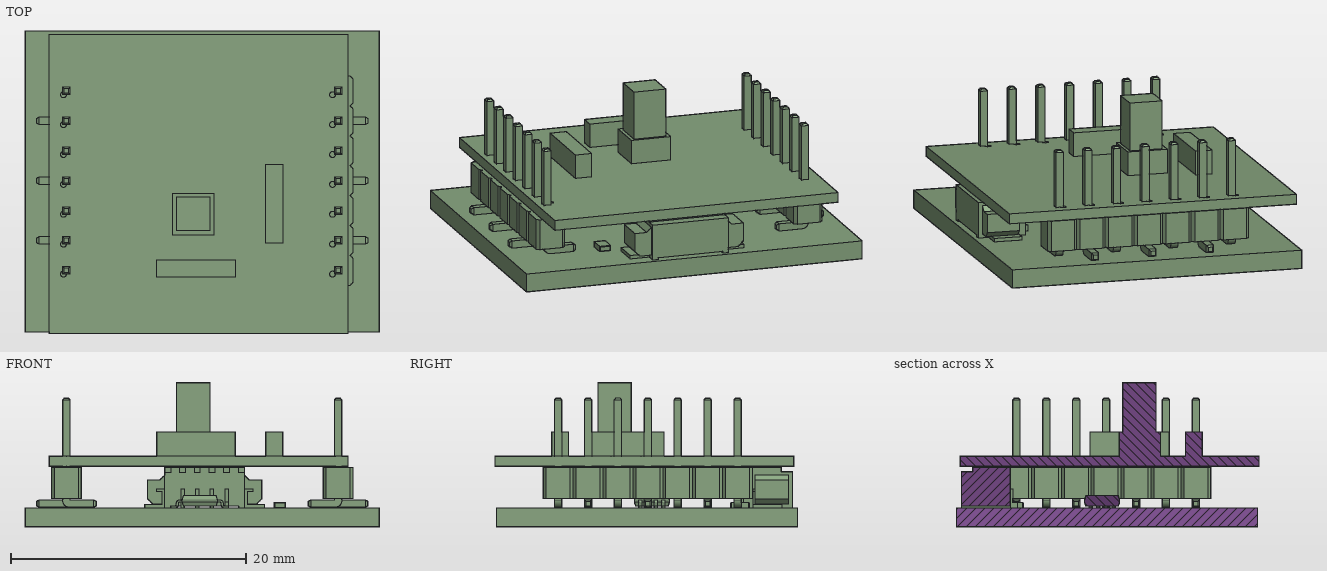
import cadquery as cq

base_x = 30.1
base_y = 25.6
base_z = 1.6

upper_size = 25.4
upper_thickness = 0.87
upper_center_x = -0.3
upper_center_y = -0.23
upper_bottom = base_z + 3.53
upper_top = upper_bottom + upper_thickness
total_height = 12.25

bar_length = 6.7
bar_width = 1.45
block_height = 2.07
front_bar_center = (-0.53, -7.38)
side_bar_center = (6.12, -1.9)
button_base_size = 3.52
button_base_center = (-0.78, -2.8)
button_size = 2.86
button_center = (-0.77, -2.75)

pitch = 2.54
pin_count = 7
header_x = 11.54
header_y = 0.07
pin_width = 0.64
pin_tip_inset = 0.13
pin_tip_length = 0.15
leg_tip_length = 0.22
pin_top = base_z + 9.33
leg_reach = 2.54
leg_bottom = base_z + 0.05
leg_bend_radius = 0.58
housing_chamfer = 0.25
board_clearance = 0.08
housing_top = upper_bottom - board_clearance
housing_bottom = base_z + 0.8
row_offsets = [(i - (pin_count - 1) / 2) * pitch for i in range(pin_count)]

hole_diameter = 0.5
hole_row_spacing = 22.86
hole_rows_x = -0.36
hole_rows_y = -0.25

connector_x = 0.2
connector_width = 6.78
connector_back = 12.37
connector_front = 8.2
connector_top = upper_bottom - board_clearance
connector_gap = 0.15
connector_foot_width = 0.5
back_step_depth = 0.95
back_step_height = 0.36
wing_span = 9.72
wing_back = 12.0
wing_front = 9.16
wing_bottom = base_z + 0.33
wing_top = base_z + 2.38
wing_slope = 0.42
wing_bottom_chamfer = 0.45
notch_width = 0.5
notch_height = 0.44
notch_depth = 0.4
notch_count = 6
contact_count = 4
contact_pitch = 1.25
contact_width = 0.3
contact_top = base_z + 1.63
contact_foot_height = 0.5
contact_drop = 0.2
contact_foot_reach = 0.6
tab_thickness = 0.24
tab_foot_thickness = 0.3
tab_arm = 0.95
tab_top = base_z + 1.63
tab_foot_span = 10.2
tab_back = 11.46
tab_front = 9.0

chip_x = -0.21
chip_y = 0.42
chip_size = 3.0
chip_draft = 0.12
chip_standoff = 0.15
chip_top = 1.07
lead_pitch = 0.65
leads_per_side = 4
lead_width = 0.3
lead_thickness = 0.18
lead_span = 4.9
lead_shoulder = 2.0
lead_top = 0.67
lead_bend_radius = 0.08

resistor_x = 6.6
resistor_width = 0.97
resistor_length = 1.6
resistor_height = 0.47
resistor_front = 7.1
resistor_edge = 0.06


def block(x_range, y_range, z_range):
    """Box given by its limits along each axis."""
    (x0, x1), (y0, y1), (z0, z1) = x_range, y_range, z_range
    return cq.Workplane("XY").box(x1 - x0, y1 - y0, z1 - z0, centered=False).translate((x0, y0, z0))


def standing_block(center, size_x, size_y, z_range):
    """Box given by its plan centre, plan size and height limits."""
    x, y = center
    return block((x - size_x / 2, x + size_x / 2), (y - size_y / 2, y + size_y / 2), z_range)


def extrude_along_y(points, y_range):
    """Prism with an X-Z outline, between two Y limits."""
    y0, y1 = y_range
    return cq.Workplane("XZ", origin=(0, y1, 0)).polyline(points).close().extrude(y1 - y0)


def make_base_board():
    return standing_block((0, 0), base_x, base_y, (0, base_z))


def make_upper_board():
    block_top = upper_top + block_height
    center = (upper_center_x, upper_center_y)
    board = standing_block(center, upper_size, upper_size, (upper_bottom, upper_top))

    holes = [
        (hole_rows_x + side * hole_row_spacing / 2, hole_rows_y + offset)
        for side in (-1, 1)
        for offset in row_offsets
    ]
    pins = [(side * header_x, header_y + offset) for side in (-1, 1) for offset in row_offsets]
    plane = cq.Workplane("XY").workplane(offset=upper_bottom)
    board = board.cut(plane.pushPoints(holes).circle(hole_diameter / 2).extrude(upper_thickness))
    board = board.cut(plane.pushPoints(pins).rect(pin_width, pin_width).extrude(upper_thickness))

    for bar_center, size_x, size_y in (
        (front_bar_center, bar_length, bar_width),
        (side_bar_center, bar_width, bar_length),
        (button_base_center, button_base_size, button_base_size),
    ):
        board = board.union(standing_block(bar_center, size_x, size_y, (upper_top, block_top)))
    button = standing_block(button_center, button_size, button_size, (block_top, total_height))
    return board.union(button)


def make_tapered_bar(length, tip_length):
    """Square bar along +Z from the origin, ending in a short tapered tip."""
    tip_width = pin_width - 2 * pin_tip_inset
    bar = cq.Workplane("XY").rect(pin_width, pin_width).extrude(length - tip_length)
    tip = cq.Workplane("XY").workplane(offset=length - tip_length).rect(pin_width, pin_width)
    return bar.union(tip.workplane(offset=tip_length).rect(tip_width, tip_width).loft())


def make_pin(direction):
    """Upright pin bent into a flat leg that points along +X or -X."""
    half = pin_width / 2
    upright = make_tapered_bar(pin_top - leg_bottom, pin_tip_length)
    leg = make_tapered_bar(leg_reach + half, leg_tip_length)
    leg = leg.rotate((0, 0, 0), (0, 1, 0), 90).translate((-half, 0, half))
    pin = upright.union(leg).clean()
    pin = pin.faces("<X").edges("<Z").fillet(leg_bend_radius)
    pin = pin.translate((0, 0, leg_bottom))
    return pin if direction > 0 else pin.mirror("YZ")


def make_header(side):
    """Header whose even pins point outward and odd pins inward."""
    header = None
    for offset in row_offsets:
        cell = standing_block((0, offset), pitch, pitch, (housing_bottom, housing_top))
        cell = cell.edges("|Z").chamfer(housing_chamfer)
        header = cell if header is None else header.union(cell)
    for index, offset in enumerate(row_offsets):
        direction = -side if index % 2 == 0 else side
        header = header.union(make_pin(direction).translate((0, offset, 0)))
    return header.translate((side * header_x, header_y, 0))


def make_connector_wing():
    """Side wing on +X with a sloped shoulder and a chamfered lower corner."""
    inner = connector_width / 2
    outer = wing_span / 2
    return extrude_along_y(
        [
            (inner, wing_bottom),
            (outer - wing_bottom_chamfer, wing_bottom),
            (outer, wing_bottom + wing_bottom_chamfer),
            (outer, wing_top),
            (inner + wing_slope, wing_top),
            (inner, wing_top + wing_slope),
        ],
        (wing_front, wing_back),
    )


def make_connector_tab():
    """Bent solder tab on +X: upper arm, upright and foot."""
    inner = connector_width / 2
    y_range = (tab_front, tab_back)
    arm = block((inner, inner + tab_arm - tab_thickness), y_range, (tab_top - tab_thickness, tab_top))
    upright = block((inner, inner + tab_thickness), y_range, (base_z, tab_top))
    foot = block((inner, tab_foot_span / 2), y_range, (base_z, base_z + tab_foot_thickness))
    return arm.union(upright).union(foot)


def make_contact():
    """Contact leaving the front of the connector, dropping to a foot on the board."""
    front = connector_front
    drop_front = front - contact_drop
    foot_front = front - contact_foot_reach
    foot_top = base_z + contact_foot_height
    x_range = (-contact_width / 2, contact_width / 2)
    drop = block(x_range, (drop_front, front), (base_z, contact_top))
    return drop.union(block(x_range, (foot_front, front), (base_z, foot_top)))


def make_connector():
    half = connector_width / 2
    y_range = (connector_front, connector_back)
    body = block((-half, half), y_range, (base_z, connector_top))
    gap_half = half - connector_foot_width
    body = body.cut(block((-gap_half, gap_half), y_range, (base_z, base_z + connector_gap)))
    body = body.cut(
        block(
            (-half, half),
            (connector_back - back_step_depth, connector_back),
            (connector_top - back_step_height, connector_top),
        )
    )
    for side in (-1, 1):
        for piece in (make_connector_wing(), make_connector_tab()):
            body = body.union(piece if side > 0 else piece.mirror("YZ"))
    for index in range(notch_count):
        x = (index - (notch_count - 1) / 2) * contact_pitch
        body = body.cut(
            block(
                (max(x - notch_width / 2, -half), min(x + notch_width / 2, half)),
                (connector_front, connector_front + notch_depth),
                (connector_top - notch_height, connector_top),
            )
        )
    for index in range(contact_count):
        x = (index - (contact_count - 1) / 2) * contact_pitch
        body = body.union(make_contact().translate((x, 0, 0)))
    return body.translate((connector_x, 0, 0))


def make_chip_lead():
    """Gull-wing lead on +X, centred on Y = 0, standing on Z = 0."""
    t = lead_thickness
    inner = lead_shoulder - t
    points = [
        (0, lead_top - t),
        (inner, lead_top - t),
        (inner, 0),
        (lead_span / 2, 0),
        (lead_span / 2, t),
        (lead_shoulder, t),
        (lead_shoulder, lead_top),
        (0, lead_top),
    ]
    lead = extrude_along_y(points, (-lead_width / 2, lead_width / 2))
    for x, z, radius in (
        (inner, lead_top - t, lead_bend_radius),
        (lead_shoulder, t, lead_bend_radius),
        (inner, 0, lead_bend_radius + t),
        (lead_shoulder, lead_top, lead_bend_radius + t),
    ):
        lead = lead.edges(cq.selectors.NearestToPointSelector((x, 0, z))).fillet(radius)
    return lead


def make_chip_body():
    """Moulded body: a straight band at the leads, drafted above and below it."""
    end_size = chip_size - 2 * chip_draft
    band_bottom = lead_top - lead_thickness
    band = standing_block((0, 0), chip_size, chip_size, (band_bottom, lead_top))

    def drafted_end(start_z, end_z):
        start = cq.Workplane("XY").workplane(offset=start_z).rect(chip_size, chip_size)
        return start.workplane(offset=end_z - start_z).rect(end_size, end_size).loft()

    return band.union(drafted_end(lead_top, chip_top)).union(drafted_end(band_bottom, chip_standoff))


def make_chip():
    chip = make_chip_body()
    for index in range(leads_per_side):
        y = (index - (leads_per_side - 1) / 2) * lead_pitch
        lead = make_chip_lead().translate((0, y, 0))
        chip = chip.union(lead).union(lead.mirror("YZ"))
    return chip.translate((chip_x, chip_y, base_z))


def make_resistor():
    resistor = block(
        (resistor_x - resistor_width / 2, resistor_x + resistor_width / 2),
        (resistor_front, resistor_front + resistor_length),
        (base_z, base_z + resistor_height),
    )
    return resistor.faces("<Y or >Y").chamfer(resistor_edge)


base_board = make_base_board()
upper_board = make_upper_board()
headers = [make_header(side) for side in (-1, 1)]
connector = make_connector()
chip = make_chip()
resistor = make_resistor()

result = cq.Compound.makeCompound(
    [
        base_board.val(),
        upper_board.val(),
        *[header.val() for header in headers],
        connector.val(),
        chip.val(),
        resistor.val(),
    ]
)